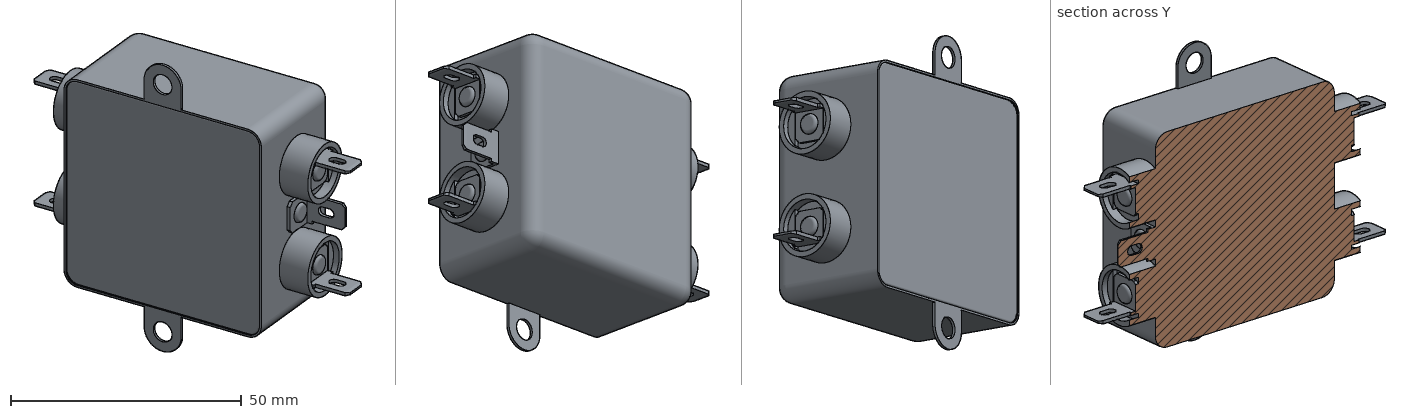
import cadquery as cq

case_width = 50.7
case_depth = 28.5
case_radius = 3.5
socket_y = case_depth / 2
side_x = case_width / 2

rim_width = 0.5
cover_rounding = 0.5

overall_height = 69.8
ear_width = 9.5
ear_thickness = 0.65
ear_hole_diameter = 4.8
ear_hole_z = (overall_height - ear_width) / 2

socket_diameter = 14.0
socket_bore_diameter = 11.5
socket_length = 7.3
socket_channel_depth = 1.05
socket_z = 11.45

overall_length = 81.2
terminal_length = 10.5
terminal_thickness = 0.8
terminal_base_size = 7.6
terminal_base_chamfer = 1.0
shoulder_length = 2.1
blade_width = 6.25
blade_tip_chamfer = 0.8
blade_tip_bevel = 0.2
slot_length = 4.0
slot_width = 2.2
slot_from_base = 5.7
rivet_diameter = 4.55
rivet_height = 0.77
rivet_rounding = 0.7

socket_floor = overall_length / 2 - side_x - terminal_length


def make_case():
    block = cq.Workplane("XY").box(case_width, case_depth, case_width)
    block = block.edges("|Y or >Y").fillet(case_radius)
    return block.translate((0, case_depth / 2, 0))


def make_cover_block(thickness):
    """Square block that fills the rim, with its outer face at Y = 0."""
    width = case_width - 2 * rim_width
    block = cq.Workplane("XY").box(width, thickness, width)
    block = block.edges("|Y").fillet(case_radius - rim_width)
    return block.translate((0, thickness / 2, 0))


def make_cover_groove():
    """Groove between the upright inner wall of the rim and the rounded cover edge."""
    opening = make_cover_block(cover_rounding)
    cover = make_cover_block(2 * cover_rounding).faces("<Y").edges().fillet(cover_rounding)
    return opening.cut(cover)


def make_ears():
    """One long strip with round ends, running behind the cover from ear to ear."""
    return (
        cq.Workplane("XZ")
        .slot2D(overall_height, ear_width, 90)
        .extrude(-ear_thickness)
    )


def make_ear_holes():
    return (
        cq.Workplane("XZ")
        .pushPoints([(0, ear_hole_z), (0, -ear_hole_z)])
        .circle(ear_hole_diameter / 2)
        .extrude(-ear_thickness)
    )


def make_socket():
    """Socket along +Z with its foot at Z = 0; a channel across its bore takes the terminal base."""
    ledge = socket_floor + socket_channel_depth
    tube = cq.Workplane("XY").circle(socket_diameter / 2).extrude(socket_length)
    bore = (
        cq.Workplane("XY")
        .workplane(offset=ledge)
        .circle(socket_bore_diameter / 2)
        .extrude(socket_length - ledge)
    )
    channel = (
        cq.Workplane("XY")
        .workplane(offset=socket_floor)
        .rect(terminal_base_size, socket_bore_diameter)
        .extrude(socket_channel_depth)
    )
    bore_core = (
        cq.Workplane("XY")
        .circle(socket_bore_diameter / 2)
        .extrude(socket_length)
    )
    return tube.cut(bore).cut(channel.intersect(bore_core))


def make_plate(width, thickness, height):
    """Plate centred on the Z axis and standing on Z = 0."""
    return cq.Workplane("XY").box(width, thickness, height, centered=(True, True, False))


def make_blade():
    """Slotted blade along +Z with a wider shoulder at its foot and a thinned tip."""
    blade = make_plate(blade_width, terminal_thickness, terminal_length)
    blade = blade.edges("|Y and >Z").chamfer(blade_tip_chamfer)
    bevel = (
        cq.Workplane("YZ")
        .moveTo(terminal_thickness / 2, terminal_length)
        .line(-blade_tip_bevel, 0)
        .line(blade_tip_bevel, -blade_tip_chamfer)
        .close()
        .extrude(blade_width / 2, both=True)
    )
    shoulder = make_plate(terminal_base_size, terminal_thickness, shoulder_length)
    slot = (
        cq.Workplane("XZ")
        .center(0, slot_from_base)
        .slot2D(slot_length, slot_width, 90)
        .extrude(terminal_thickness, both=True)
    )
    return blade.cut(bevel).cut(bevel.mirror("XZ")).union(shoulder).cut(slot)


def make_terminal():
    """Terminal standing on Z = 0, with its blade along the +Y edge of the base."""
    base = make_plate(terminal_base_size, terminal_base_size, terminal_thickness)
    base = base.edges("|Z and <Y").chamfer(terminal_base_chamfer)
    rivet = (
        cq.Workplane("XY")
        .workplane(offset=terminal_thickness)
        .circle(rivet_diameter / 2)
        .extrude(rivet_height)
        .faces(">Z")
        .edges()
        .fillet(rivet_rounding)
    )
    blade_offset = (terminal_base_size - terminal_thickness) / 2
    return base.union(rivet).union(make_blade().translate((0, blade_offset, 0)))


def lay_on_right_side(feature):
    """Turn a feature built along +Z so that it stands out from the middle of the +X side."""
    return feature.rotate((0, 0, 0), (0, 1, 0), 90).translate((side_x, socket_y, 0))


socket_terminal = make_socket().union(make_terminal().translate((0, 0, socket_floor)))
blade_up = socket_terminal.rotate((0, 0, 0), (0, 0, 1), 90)
upper_right = lay_on_right_side(blade_up).translate((0, 0, socket_z))
right_pair = upper_right.union(upper_right.mirror("XY"))
left_pair = right_pair.mirror("YZ")

earth_terminal = lay_on_right_side(make_terminal())

result = (
    make_case()
    .union(make_ears())
    .cut(make_ear_holes())
    .cut(make_cover_groove())
    .union(right_pair)
    .union(left_pair)
    .union(earth_terminal)
)